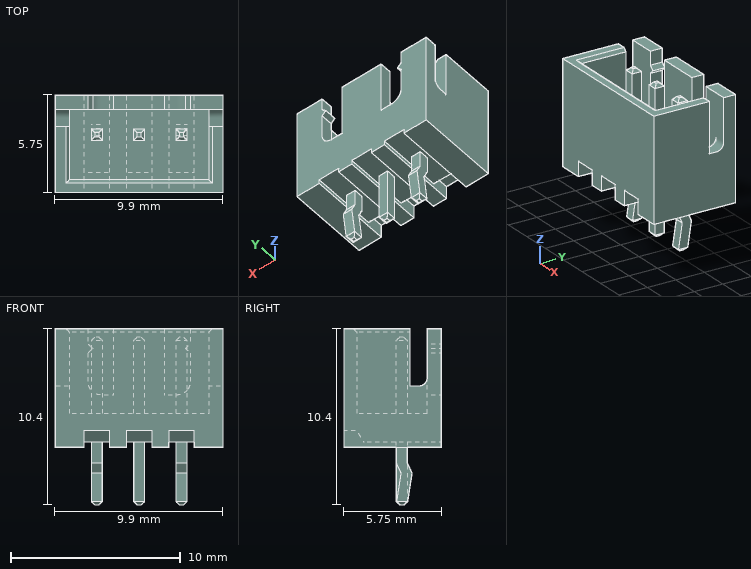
import cadquery as cq
import math


overall_height = 10.4
body_length = 9.9
body_width = 5.75
body_height = 7.0
pin_to_back = 2.34
back_wall = 0.84
front_wall = 0.76
end_wall = 0.84
floor_thickness = 2.0

mouth_chamfer = 0.21

end_slot_width = 1.0
end_slot_depth = 3.38
back_slot_width = 1.52
back_slot_depth = 3.9
center_post_width = 3.0

nub_projection = 0.28
nub_top_drop = 0.9
nub_tip_drop = 1.16
nub_bottom_drop = 1.44

channel_width = 1.49
channel_front_height = 1.0
channel_back_height = 0.3
channel_slope_run = 0.43

pin_count = 3
pin_pitch = 2.5
pin_size = 0.65
pin_top_drop = 0.5
tip_chamfer = 0.21
kink_start_drop = 0.92
kink_peak_drop = 1.52
kink_offset = 0.29
kink_end_offset = 0.03

body_back = pin_to_back
body_front = body_back - body_width
pocket_back = body_back - back_wall
pocket_front = body_front + front_wall
pocket_half_length = body_length / 2 - end_wall
leg_length = overall_height - body_height
shoulder_z = tip_chamfer - leg_length
back_slot_inner = center_post_width / 2
back_slot_outer = back_slot_inner + back_slot_width
pin_places = [(i - (pin_count - 1) / 2) * pin_pitch for i in range(pin_count)]


def box(x0, x1, y0, y1, z0, z1):
    """Box between two opposite corners."""
    return cq.Workplane("XY").box(x1 - x0, y1 - y0, z1 - z0, centered=False).translate((x0, y0, z0))


def extrude_along_x(points, width, x_center):
    """Extrude an outline of (Y, Z) points, centred on x_center."""
    outline = cq.Workplane("YZ").polyline(points).close()
    return outline.extrude(width / 2, both=True).translate((x_center, 0, 0))


def tapered(width, depth, taper, height, base_z):
    """Loft between level rectangles whose edges differ by taper; negative values shrink or point down."""
    return (
        cq.Workplane("XY")
        .workplane(offset=base_z)
        .rect(width, depth)
        .workplane(offset=height)
        .rect(width + 2 * taper, depth + 2 * taper)
        .loft(ruled=True)
    )


def housing_block():
    return box(-body_length / 2, body_length / 2, body_front, body_back, 0, body_height)


def pocket():
    """Cavity open at the top."""
    return box(
        -pocket_half_length, pocket_half_length, pocket_front, pocket_back, floor_thickness, body_height
    )


def mouth_bevel():
    """Lead-in on the front and end walls; the back wall keeps a square edge."""
    width = 2 * pocket_half_length
    depth = pocket_back - pocket_front
    flare = tapered(width, depth, mouth_chamfer, mouth_chamfer, body_height - mouth_chamfer)
    flare = flare.translate((0, (pocket_front + pocket_back) / 2, 0))
    keep = box(
        -body_length / 2, body_length / 2, body_front, pocket_back - end_slot_width, 0, body_height
    )
    return flare.intersect(keep)


def rounded_slot(plane, square_side, round_side, depth):
    """Sketch of a slot open at the top, with a half-width radius on one lower corner."""
    bottom = body_height - depth
    diagonal = math.sqrt(0.5)
    radius = abs(round_side - square_side) / 2
    middle = (square_side + round_side) / 2
    corner_shift = (round_side - middle) * diagonal
    return (
        cq.Workplane(plane)
        .moveTo(square_side, body_height)
        .lineTo(square_side, bottom)
        .lineTo(middle, bottom)
        .threePointArc(
            (middle + corner_shift, bottom + radius * (1 - diagonal)),
            (round_side, bottom + radius),
        )
        .lineTo(round_side, body_height)
        .close()
    )


def end_slots():
    """One slot through both end walls, against the back wall."""
    sketch = rounded_slot("YZ", pocket_back - end_slot_width, pocket_back, end_slot_depth)
    return sketch.extrude(body_length / 2, both=True)


def back_slot(side):
    """Slot through the back wall; side is -1 or +1."""
    sketch = rounded_slot("XZ", side * back_slot_inner, side * back_slot_outer, back_slot_depth)
    return sketch.extrude(-back_wall).translate((0, pocket_back, 0))


def latch_nub(side):
    """Triangular nub reaching from an outer post into its back slot."""
    root = side * back_slot_outer
    tip = side * (back_slot_outer - nub_projection)
    return (
        cq.Workplane("XZ")
        .moveTo(root, body_height - nub_top_drop)
        .lineTo(tip, body_height - nub_tip_drop)
        .lineTo(root, body_height - nub_bottom_drop)
        .close()
        .extrude(-back_wall)
        .translate((0, pocket_back, 0))
    )


def channel(x_center):
    """Channel across the underside: high under the front wall, then sloping down to a low roof."""
    outline = [
        (body_front, 0),
        (body_front, channel_front_height),
        (pocket_front, channel_front_height),
        (pocket_front + channel_slope_run, channel_back_height),
        (body_back, channel_back_height),
        (body_back, 0),
    ]
    return extrude_along_x(outline, channel_width, x_center)


def pin_tip(x_center, y_center, base_z, height):
    """Blunt pyramid; a negative height points it down."""
    tip = tapered(pin_size, pin_size, -tip_chamfer, height, base_z)
    return tip.translate((x_center, y_center, 0))


def pin(x_center, kinked):
    """Square pin with blunt tips; a kinked pin has its leg bent toward the back."""
    half = pin_size / 2
    top_z = body_height - pin_top_drop - tip_chamfer
    center_line = [(0, top_z)]
    if kinked:
        center_line += [
            (0, -kink_start_drop),
            (kink_offset, -kink_peak_drop),
            (kink_end_offset, shoulder_z),
        ]
    else:
        center_line += [(0, shoulder_z)]
    end_offset = center_line[-1][0]
    front_edge = [(y - half, z) for y, z in center_line]
    back_edge = [(y + half, z) for y, z in reversed(center_line)]
    shaft = extrude_along_x(front_edge + back_edge, pin_size, x_center)
    upper_tip = pin_tip(x_center, 0, top_z, tip_chamfer)
    lower_tip = pin_tip(x_center, end_offset, shoulder_z, -tip_chamfer)
    return shaft.union(upper_tip).union(lower_tip)


result = housing_block().cut(pocket()).cut(mouth_bevel()).cut(end_slots())
for side in (-1, 1):
    result = result.cut(back_slot(side)).union(latch_nub(side))
for x in pin_places:
    result = result.cut(channel(x))
for x in pin_places:
    result = result.union(pin(x, kinked=(x != 0)))